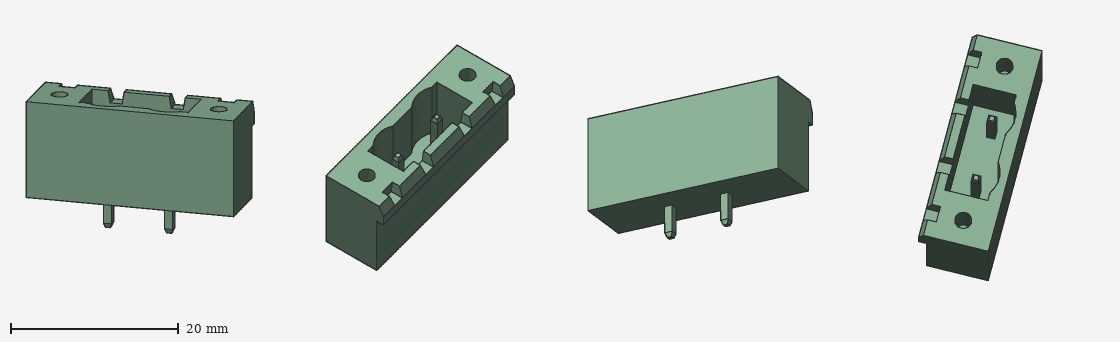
import cadquery as cq


length = 25.82
body_depth = 7.6
overall_depth = 8.6
body_height = 12.0
lip_height = 3.0
lip_chamfer_height = 1.5
lip_chamfer_depth = 0.62

pin_pitch = 7.62
pin_y = 3.85
pin_width = 1.0
pin_tip_width = 0.6
pin_taper = 0.57
pin_length_below = 4.0
pin_top_recess = 1.95

socket_width = 13.58
socket_front = 1.63
socket_back = 6.92
socket_depth = 8.4
bulge_width = 3.98
bulge_depth = 0.62

hole_inset = 3.0
hole_diameter = 2.0
hole_depth = 5.16

notch_top_width = 2.0
notch_bottom_width = 1.5
notch_depth = 1.5

middle = length / 2
pin_positions = [middle - pin_pitch / 2, middle + pin_pitch / 2]
hole_positions = [hole_inset, length - hole_inset]


def make_housing():
    """Block with a chamfered lip along the top of its back side."""
    profile = [
        (0, 0),
        (body_depth, 0),
        (body_depth, body_height - lip_height),
        (overall_depth, body_height - lip_height),
        (overall_depth, body_height - lip_chamfer_height),
        (overall_depth - lip_chamfer_depth, body_height),
        (0, body_height),
    ]
    return cq.Workplane("YZ").polyline(profile).close().extrude(length)


def make_socket():
    """Rectangular pocket whose front wall bows outward beside each pin."""
    left = middle - socket_width / 2
    right = middle + socket_width / 2
    outline = cq.Workplane("XY").workplane(offset=body_height - socket_depth)
    outline = outline.moveTo(left, socket_back).lineTo(left, socket_front)
    for x in pin_positions:
        outline = outline.lineTo(x - bulge_width / 2, socket_front).threePointArc(
            (x, socket_front - bulge_depth), (x + bulge_width / 2, socket_front)
        )
    outline = outline.lineTo(right, socket_front).lineTo(right, socket_back).close()
    return outline.extrude(socket_depth)


def make_notch(x):
    """Notch with sloping sides, open at the back and the top."""
    profile = [
        (x - notch_top_width / 2, body_height),
        (x - notch_bottom_width / 2, body_height - notch_depth),
        (x + notch_bottom_width / 2, body_height - notch_depth),
        (x + notch_top_width / 2, body_height),
    ]
    back = cq.Workplane("XZ", origin=(0, overall_depth, 0))
    return back.polyline(profile).close().extrude(overall_depth - socket_back)


def make_pin(x):
    """Square pin with a tapered tip at each end."""
    shank_bottom = pin_taper - pin_length_below
    shank_top = body_height - pin_top_recess - pin_taper
    shank = (
        cq.Workplane("XY", origin=(x, pin_y, shank_bottom))
        .rect(pin_width, pin_width)
        .extrude(shank_top - shank_bottom)
    )
    pin = shank
    for shank_end, direction in [(shank_bottom, -1), (shank_top, 1)]:
        tip = (
            cq.Workplane("XY", origin=(x, pin_y, shank_end))
            .rect(pin_width, pin_width)
            .workplane(offset=direction * pin_taper)
            .rect(pin_tip_width, pin_tip_width)
            .loft(combine=True)
        )
        pin = pin.union(tip)
    return pin


result = make_housing().cut(make_socket())

for x in hole_positions:
    hole = cq.Workplane("XY", origin=(x, pin_y, body_height)).circle(hole_diameter / 2).extrude(-hole_depth)
    result = result.cut(hole)

for x in hole_positions + pin_positions:
    result = result.cut(make_notch(x))

for x in pin_positions:
    result = result.union(make_pin(x))